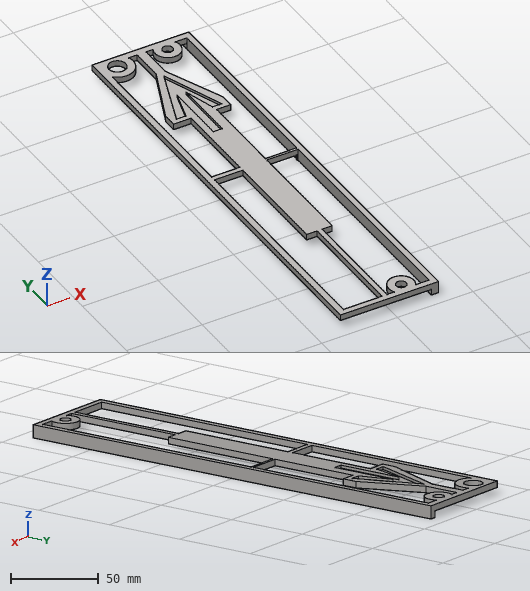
import cadquery as cq

length = 282.0
overall_width = 65.0
overall_height = 8.0
plate_thickness = 4.0

left_bar = 4.2
top_bar = 4.5
bottom_bar = 4.0

rail_width = 4.0
rail_lean = 0.8

eyelet_inset = 8.5
large_eyelet_x = 11.8
large_hole_diameter = 11.0
large_eyelet_diameter = 21.2
small_eyelet_x = 45.0
small_hole_diameter = 6.5
small_eyelet_diameter = 16.5

axis_x = 30.2
upper_stem_width = 6.0
shaft_left = 22.8
shaft_width = 17.0
shaft_bottom = 77.5
head_bottom = 208.7
head_shoulder = 217.7
head_top = 255.8
head_width = 37.8
lower_stem_width = 3.5

cross_bar_top = 153.5
left_cross_bar = 3.5
right_cross_bar = 1.7

recess_depth = 1.7
recess_tip = 252.0
recess_barb_bottom = 212.0
recess_half_width = 15.0
recess_barb_width = 6.2
recess_notch_top = 232.0
recess_shaft_bottom = 191.0


def slab(x_min, x_max, y_min, y_max, depth=plate_thickness):
    """Rectangular bar with its top face at Z = 0."""
    return (
        cq.Workplane("XY")
        .box(x_max - x_min, y_max - y_min, depth, centered=False)
        .translate((x_min, y_min, -depth))
    )


def prism(points, depth):
    """Closed outline extruded downwards from the top face."""
    return cq.Workplane("XY").polyline(points).close().extrude(-depth)


def disc(x, y, diameter):
    """Plate-thick disc, used for both the eyelets and their holes."""
    return cq.Workplane("XY").center(x, y).circle(diameter / 2).extrude(-plate_thickness)


def mirrored(left_side):
    """Complete an outline that is symmetric about the arrow axis."""
    right_side = [(2 * axis_x - x, y) for x, y in reversed(left_side) if x < axis_x]
    return left_side + right_side


rail_bottom_left = overall_width - rail_width
rail_top_right = overall_width - rail_lean
rail_top_left = rail_top_right - rail_width
rail = prism(
    [
        (rail_bottom_left, 0),
        (overall_width, 0),
        (rail_top_right, length),
        (rail_top_left, length),
    ],
    overall_height,
)

rail_middle = rail_top_right - rail_width / 2
shaft_right = shaft_left + shaft_width
lower_stem_right = axis_x + upper_stem_width / 2
bars = [
    slab(0, left_bar, 0, length),
    slab(0, rail_middle, length - top_bar, length),
    slab(0, rail_middle, 0, bottom_bar),
    slab(left_bar, shaft_left, cross_bar_top - left_cross_bar, cross_bar_top),
    slab(shaft_right, rail_middle, cross_bar_top - right_cross_bar, cross_bar_top),
    slab(lower_stem_right - lower_stem_width, lower_stem_right, 0, shaft_bottom),
    slab(shaft_left, shaft_right, shaft_bottom, head_bottom),
]

arrow_head = prism(
    mirrored(
        [
            (axis_x - head_width / 2, head_bottom),
            (axis_x - head_width / 2, head_shoulder),
            (axis_x - upper_stem_width / 2, head_top),
            (axis_x - upper_stem_width / 2, length),
        ]
    ),
    plate_thickness,
)

rail_feet = [
    slab(rail_top_left, rail_middle, y_min, y_max, overall_height)
    for y_min, y_max in (
        (0, bottom_bar),
        (cross_bar_top - right_cross_bar, cross_bar_top),
        (length - top_bar, length),
    )
]

body = rail.union(arrow_head)
for bar in bars + rail_feet:
    body = body.union(bar)

eyelets = [
    (large_eyelet_x, length - eyelet_inset, large_eyelet_diameter, large_hole_diameter),
    (small_eyelet_x, length - eyelet_inset, small_eyelet_diameter, small_hole_diameter),
    (small_eyelet_x, eyelet_inset, small_eyelet_diameter, small_hole_diameter),
]
frame_area = slab(0, rail_middle, 0, length)
for x, y, outer_diameter, hole_diameter in eyelets:
    body = body.union(disc(x, y, outer_diameter).intersect(frame_area))
    body = body.cut(disc(x, y, hole_diameter))

recess = prism(
    mirrored(
        [
            (axis_x - upper_stem_width / 2, recess_shaft_bottom),
            (axis_x - upper_stem_width / 2, recess_notch_top),
            (axis_x - recess_half_width + recess_barb_width, recess_barb_bottom),
            (axis_x - recess_half_width, recess_barb_bottom),
            (axis_x, recess_tip),
        ]
    ),
    recess_depth,
)

result = body.cut(recess)